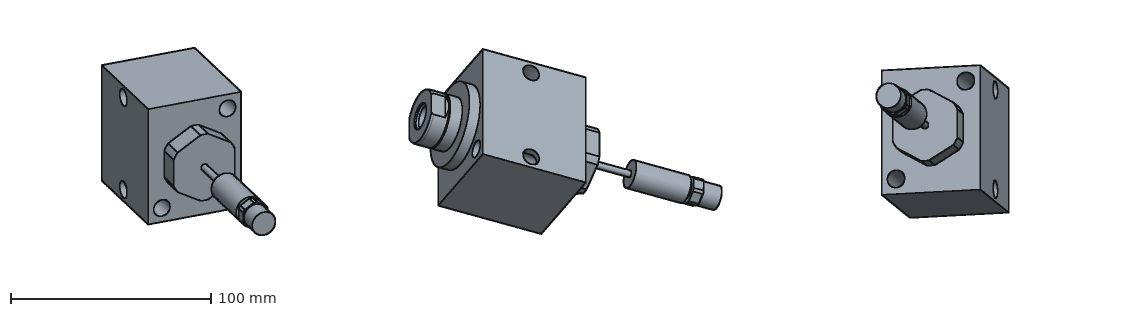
import cadquery as cq
import math


flat_end = 7.5
rod_end = 9.4
flange_start = 16.5
block_start = 22.4
block_end = 79.7
nut_end = 91.5
sleeve_start = 116.5
sleeve_end = 147.0
plug_nut_start = 148.8
plug_nut_end = 154.4
plug_end = 164.6

block_width = 50.9
block_height = 63.5
hole_diameter = 8.9
cross_hole_x = 49.2
cross_hole_z = 25.3
mount_hole_y = 18.0
mount_hole_z = 24.0

collar_diameter = 28.3
flange_diameter = 44.5
rod_chamfer_length = 1.2
rod_chamfer_depth = 0.3
flat_distance = 12.7
groove_width = 0.5
groove_depth = 0.3
bore_diameter = 11.9
bore_depth = 14.8
bore_mouth_diameter = 13.8
bore_mouth_depth = 1.0

nut_across_flats = 33.4
nut_corner_diameter = 36.4
cable_diameter = 3.6
sleeve_diameter = 14.6
neck_diameter = 8.5
plug_nut_across_flats = 13.5
plug_nut_corner_diameter = 14.6
plug_diameter = 12.7


def section(x):
    """Sketch plane across the main axis, with local axes along Y and Z."""
    return cq.Workplane("YZ", origin=(x, 0, 0))


def cylinder(start, end, diameter):
    return section(start).circle(diameter / 2).extrude(end - start)


def hex_nut(start, end, across_flats, corner_diameter):
    """Hexagon with two flats facing +Y and -Y and its corners turned round."""
    point_distance = across_flats / math.cos(math.pi / 6)
    hexagon = (
        section(start)
        .transformed(rotate=(0, 0, 90))
        .polygon(6, point_distance)
        .extrude(end - start)
    )
    return hexagon.intersect(cylinder(start, end, corner_diameter))


def make_rod():
    """Collar and rod end with a groove, two wrench flats ending in 45 degree ramps, and a blind bore.

    The bore has a short wider mouth that narrows at 45 degrees.
    """
    rod = cylinder(0, flange_start, collar_diameter)
    rod = rod.faces("<X").edges().chamfer(rod_chamfer_length, rod_chamfer_depth)
    groove = cylinder(rod_end, rod_end + groove_width, collar_diameter).cut(
        cylinder(rod_end, rod_end + groove_width, collar_diameter - 2 * groove_depth)
    )
    rod = rod.cut(groove)
    ramp = collar_diameter / 2 - flat_distance
    for side in (-1, 1):
        flat_cut = (
            cq.Workplane("XY", origin=(0, 0, -collar_diameter / 2))
            .moveTo(0, side * flat_distance)
            .lineTo(flat_end, side * flat_distance)
            .lineTo(flat_end + ramp, side * (flat_distance + ramp))
            .lineTo(0, side * (flat_distance + ramp))
            .close()
            .extrude(collar_diameter)
        )
        rod = rod.cut(flat_cut)
    rod = rod.cut(cylinder(0, bore_depth, bore_diameter))
    bore_step = (bore_mouth_diameter - bore_diameter) / 2
    mouth = cylinder(0, bore_mouth_depth + bore_step, bore_mouth_diameter)
    return rod.cut(mouth.faces(">X").chamfer(bore_step))


def make_block():
    """Block with two holes along Y and two diagonal holes along X."""
    length = block_end - block_start
    block = section(block_start).rect(block_width, block_height).extrude(length)
    cross_holes = (
        cq.Workplane("XZ", origin=(cross_hole_x, 0, 0))
        .pushPoints([(0, cross_hole_z), (0, -cross_hole_z)])
        .circle(hole_diameter / 2)
        .extrude(block_width, both=True)
    )
    mount_holes = (
        section(block_start)
        .pushPoints([(mount_hole_y, mount_hole_z), (-mount_hole_y, -mount_hole_z)])
        .circle(hole_diameter / 2)
        .extrude(length)
    )
    return block.cut(cross_holes).cut(mount_holes)


def make_cable_and_plug():
    cable = cylinder(nut_end, sleeve_start, cable_diameter)
    sleeve = cylinder(sleeve_start, sleeve_end, sleeve_diameter)
    neck = cylinder(sleeve_end, plug_nut_start, neck_diameter)
    nut = hex_nut(plug_nut_start, plug_nut_end, plug_nut_across_flats, plug_nut_corner_diameter)
    plug = cylinder(plug_nut_end, plug_end, plug_diameter)
    return cable.union(sleeve).union(neck).union(nut).union(plug)


flange = cylinder(flange_start, block_start, flange_diameter)
rear_nut = hex_nut(block_end, nut_end, nut_across_flats, nut_corner_diameter)

result = make_rod().union(flange).union(make_block()).union(rear_nut).union(make_cable_and_plug())